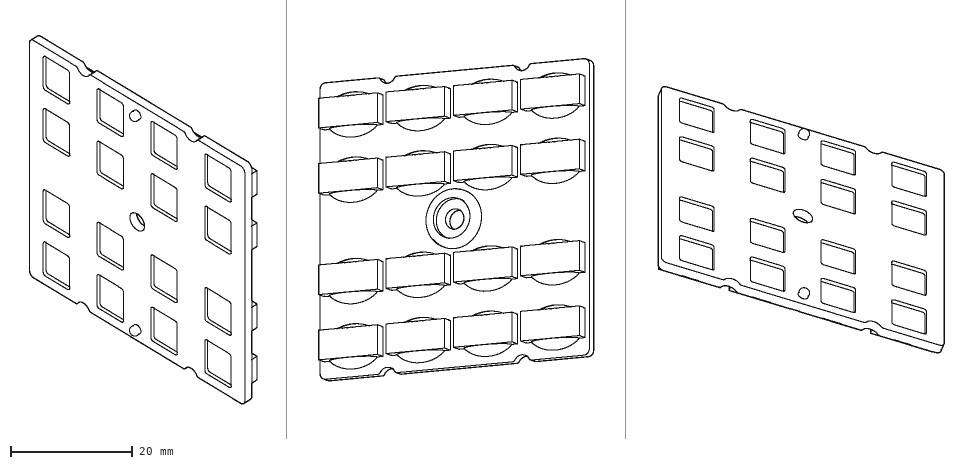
import cadquery as cq

plate_side = 49.8
plate_thickness = 1.65
plate_corner_radius = 1.0

notch_offset_x = 12.45
notch_radius = 1.5
notch_center_outset = 0.45
notch_lip_radius = 0.5

column_pitch = 12.45
column_count = 4
inner_row_z = 8.5
row_pitch = 10.95

pocket_width = 6.1
pocket_height = 7.05
pocket_depth = 0.7
pocket_corner_radius = 0.5

block_width = 10.85
block_height = 5.0
block_depth = 2.05
dome_half_width = 10.7
dome_half_height = 7.6
dome_depth = 4.7
dome_drop = 0.35

ring_outer_radius = 5.0
ring_depth = 1.1
ring_edge_radius = 0.6
center_hole_radius = 1.7
ring_bore_radius = 3.4

pin_diameter = 1.75
pin_length = 1.25
pin_offset_z = 22.5
pin_tip_radius = 0.55

outer_row_z = inner_row_z + row_pitch
row_positions = [-outer_row_z, -inner_row_z, inner_row_z, outer_row_z]
first_column_x = -column_pitch * (column_count - 1) / 2
column_positions = [first_column_x + i * column_pitch for i in range(column_count)]
lens_centers = [(x, z) for x in column_positions for z in row_positions]


def xz_plane(y):
    """Sketch plane at the given Y: local x is X, local y is Z, so a negative extrusion goes toward +Y."""
    return cq.Workplane("XZ", origin=(0, y, 0))


def make_plate():
    plate = xz_plane(0).rect(plate_side, plate_side).extrude(-plate_thickness)
    plate = plate.edges("|Y").fillet(plate_corner_radius)
    notch_z = plate_side / 2 + notch_center_outset
    notch_centers = [(x, z) for x in (-notch_offset_x, notch_offset_x) for z in (-notch_z, notch_z)]
    notches = xz_plane(0).pushPoints(notch_centers).circle(notch_radius).extrude(-plate_thickness)
    plate = plate.cut(notches)
    for x in (-notch_offset_x, notch_offset_x):
        lip_zone = cq.selectors.BoxSelector(
            (x - 2 * notch_radius, -plate_thickness, -plate_side),
            (x + 2 * notch_radius, 2 * plate_thickness, plate_side),
        )
        plate = plate.edges("|Y").edges(lip_zone).fillet(notch_lip_radius)
    return plate


def make_pockets():
    pockets = xz_plane(0).pushPoints(lens_centers).rect(pocket_width, pocket_height).extrude(-pocket_depth)
    return pockets.edges("|Y").fillet(pocket_corner_radius)


def make_dome():
    """Half ellipsoid bulging toward +Y from the XZ plane."""
    half_sphere = cq.Solid.makeSphere(0.5, cq.Vector(0, 0, 0), cq.Vector(0, 1, 0), 0, 90, 360)
    stretch = cq.Matrix([
        [dome_half_width, 0, 0, 0],
        [0, dome_depth, 0, 0],
        [0, 0, dome_half_height, 0],
    ])
    return half_sphere.transformGeometry(stretch)


def make_lens():
    block = xz_plane(0).rect(block_width, block_height).extrude(-block_depth)
    dome = make_dome().translate(cq.Vector(0, 0, -dome_drop))
    return block.union(cq.Workplane(dome))


def make_ring():
    disc = xz_plane(plate_thickness).circle(ring_outer_radius).extrude(-ring_depth)
    disc = disc.faces(">Y").edges().fillet(ring_edge_radius)
    bore = xz_plane(plate_thickness).circle(ring_bore_radius).extrude(-ring_depth)
    return disc.cut(bore)


def make_pins():
    pin_centers = [(0, -pin_offset_z), (0, pin_offset_z)]
    pins = xz_plane(0).pushPoints(pin_centers).circle(pin_diameter / 2).extrude(pin_length)
    return pins.faces("<Y").edges().fillet(pin_tip_radius)


body = make_plate().union(make_ring()).union(make_pins())

lens = make_lens()
for x, z in lens_centers:
    body = body.union(lens.translate((x, plate_thickness, z)))

center_hole = xz_plane(0).circle(center_hole_radius).extrude(-plate_thickness)

result = body.cut(make_pockets()).cut(center_hole)